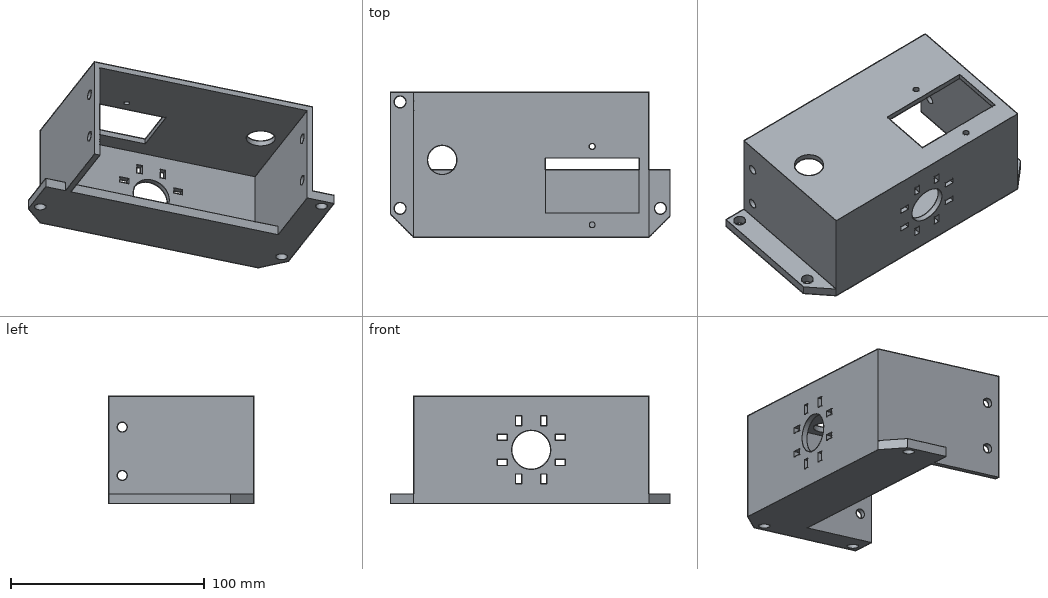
import cadquery as cq

box_length = 121.5
box_depth = 75.0
box_height = 55.5
wall = 3.0
floor = 5.0
floor_depth = 35.0

left_flange_width = 12.0
right_flange_width = 11.0
flange_hole_diameter = 6.0
flange_hole_y = 15.0
left_back_hole_y = 70.0
left_hole_offset = 7.0
right_hole_offset = 6.0

cable_hole_diameter = 15.0
cable_hole_x = 14.75
cable_hole_y = 40.0
window_length = 48.5
window_width = 28.5
window_x = 92.25
window_y = 26.75
screw_hole_diameter = 3.0
screw_hole_spacing = 40.5

bore_diameter = 20.0
bore_x = box_length / 2
bore_z = box_height / 2
slot_length = 5.0
slot_width = 3.0
slot_outward_offset = 15.0
slot_side_offset = 6.5

side_hole_diameter = 5.0
side_hole_back_distance = 7.0
side_hole_heights = (14.5, 39.5)


def box_at(x_min, x_max, y_min, y_max, z_min, z_max):
    """Axis-aligned block between the given limits."""
    block = cq.Workplane("XY").box(x_max - x_min, y_max - y_min, z_max - z_min, centered=False)
    return block.translate((x_min, y_min, z_min))


def make_shell():
    """Box with front, sides, roof and a short floor; the back is open."""
    shell = box_at(0, box_length, 0, box_depth, 0, box_height)
    inner_right = box_length - wall
    cavity = box_at(wall, inner_right, wall, box_depth, floor, box_height - wall)
    floor_opening = box_at(wall, inner_right, floor_depth, box_depth, 0, floor)
    return shell.cut(cavity).cut(floor_opening)


def make_flange(wall_x, outer_x, back_y):
    """Flange whose front corner is cut at 45 degrees from the box corner."""
    bevel = abs(outer_x - wall_x)
    outline = [(wall_x, 0), (outer_x, bevel), (outer_x, back_y), (wall_x, back_y)]
    return cq.Workplane("XY").polyline(outline).close().extrude(floor)


def cut_flange_holes(body):
    """Two mounting holes in the left flange and one in the right flange."""
    points = [
        (-left_hole_offset, flange_hole_y),
        (-left_hole_offset, left_back_hole_y),
        (box_length + right_hole_offset, flange_hole_y),
    ]
    holes = cq.Workplane("XY").pushPoints(points).circle(flange_hole_diameter / 2).extrude(floor)
    return body.cut(holes)


def cut_roof_openings(body):
    """Cable hole and rectangular window with a screw hole in front of and behind it."""
    roof_bottom = box_height - wall
    window_plane = cq.Workplane("XY", origin=(window_x, window_y, roof_bottom))
    cable_plane = cq.Workplane("XY", origin=(cable_hole_x, cable_hole_y, roof_bottom))

    window = window_plane.rect(window_length, window_width).extrude(wall)
    screw_points = window_plane.rarray(1, screw_hole_spacing, 1, 2)
    screw_holes = screw_points.circle(screw_hole_diameter / 2).extrude(wall)
    cable_hole = cable_plane.circle(cable_hole_diameter / 2).extrude(wall)
    return body.cut(window).cut(screw_holes).cut(cable_hole)


def cut_front_openings(body):
    """Round bore surrounded by four level and four upright slots."""
    front_plane = cq.Workplane("XZ", origin=(bore_x, 0, bore_z))
    across = 2 * slot_outward_offset
    between = 2 * slot_side_offset

    bore = front_plane.circle(bore_diameter / 2).extrude(-wall)
    level_points = front_plane.rarray(across, between, 2, 2)
    level_slots = level_points.rect(slot_length, slot_width).extrude(-wall)
    upright_points = front_plane.rarray(between, across, 2, 2)
    upright_slots = upright_points.rect(slot_width, slot_length).extrude(-wall)
    return body.cut(bore).cut(level_slots).cut(upright_slots)


def cut_side_holes(body):
    """Holes passing through both side walls."""
    points = [(box_depth - side_hole_back_distance, height) for height in side_hole_heights]
    holes = cq.Workplane("YZ").pushPoints(points).circle(side_hole_diameter / 2).extrude(box_length)
    return body.cut(holes)


part = make_shell()
part = part.union(make_flange(0, -left_flange_width, box_depth))
part = part.union(make_flange(box_length, box_length + right_flange_width, floor_depth))
part = cut_flange_holes(part)
part = cut_roof_openings(part)
part = cut_front_openings(part)
part = cut_side_holes(part)

result = part